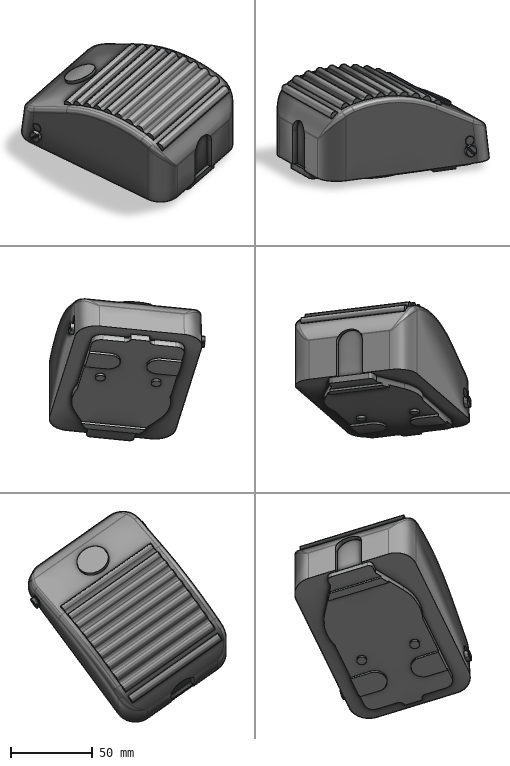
import cadquery as cq
import math


def polar(centre, radius, angle):
    """Point on a circle in the XZ section; the angle is measured from +Z toward +X, in degrees."""
    turn = math.radians(angle)
    return (centre[0] + radius * math.sin(turn), centre[1] + radius * math.cos(turn))


length = 116.5
width = 79.0
half_width = width / 2
wall_tilt = 6.9
slope = 26.1
crown_x = 76.9
crown_z = 49.1
crown_radius = 83.4
back_radius = 24.5
nose_radius = 13.3
corner_radius = 13.0
edge_radius = 2.9
nose_overshoot = 0.1
back_overshoot = 0.17

crown_centre = (crown_x, crown_z - crown_radius)
back_x = length + back_overshoot
back_turn = math.degrees(math.asin((back_x - back_radius - crown_x) / (crown_radius - back_radius)))
slope_end = polar(crown_centre, crown_radius, -slope)
climb = math.tan(math.radians(slope))
lean = math.tan(math.radians(wall_tilt))
back_centre = polar(crown_centre, crown_radius - back_radius, back_turn)

notch_diameter = 17.2
notch_top = 29.7
notch_depth = 3.5

overlap = 1.2

ridge_radius = 2.7
ridge_pitch = 5.57
ridges_before_crown = 5
ridges_after_crown = 2
rear_ridge_turns = (21.1, 41.5)
valley_radius = 2.0
tread_width = 68.0

badge_diameter = 20.0
badge_thickness = 2.1
badge_x = 22.7

screw_x = 18.4
screw_z = 8.6
screw_diameter = 6.9
screw_reach = 84.3 / 2
slot_width = 1.0
slot_depth = 1.2
slot_angle = 45
button_z = 14.8
button_diameter = 6.1
button_height = 0.1
button_taper = 65

plate_thickness = 3.8
plate_front = 8.9
plate_back = 115.4
plate_half_width = 29.0
plate_corner_radius = 6.2
bulge_radius = 61.0 / 2
bulge_x = 73.9
bulge_end_angle = 31.0
taper_end_x = 108.4
tail_corner_radius = 2.8
tab_front = 5.4
tab_half_width = 5.8
tab_fillet = plate_front - tab_front
tab_fillet_gap = 0.7

foot_height = 1.5
front_foot_x = (22.6, 37.8)
front_foot_outer_y = 29.0
front_foot_inner_y = 8.4
rear_foot_x = (99.5, 104.6)
stud_x = 48.5
stud_y = 17.5
stud_diameter = 6.1


def make_housing():
    """Arched body whose sides are rounded along the whole upper outline."""
    nose_z = (slope_end[1] - climb * (slope_end[0] + nose_overshoot)) / (1 - lean * climb)
    nose = (nose_z * lean - nose_overshoot, nose_z)
    arch = (
        cq.Workplane("XZ")
        .moveTo(-nose_overshoot, 0)
        .lineTo(*nose)
        .lineTo(*slope_end)
        .threePointArc((crown_x, crown_z), polar(crown_centre, crown_radius, back_turn))
        .threePointArc(polar(back_centre, back_radius, (back_turn + 90) / 2), (back_x, back_centre[1]))
        .lineTo(back_x, 0)
        .close()
        .extrude(half_width, both=True)
        .edges(cq.selectors.NearestToPointSelector((nose[0], 0, nose[1])))
        .fillet(nose_radius)
    )

    block_height = crown_z + edge_radius
    walls = (
        cq.Workplane("XZ")
        .polyline([(0, 0), (lean * block_height, block_height), (length, block_height), (length, 0)])
        .close()
        .extrude(half_width, both=True)
        .edges("not(#Z or |Y or |X)")
        .fillet(corner_radius)
    )

    body = arch.intersect(walls)
    outline = body.faces("<Y or >Y").edges("not(<Z or |Z)")
    outline = outline.filter(lambda edge: edge.Center().z > nose_z)
    return outline.fillet(edge_radius)


def make_notch():
    """Arched cable notch, open at the rim of the back wall."""
    radius = notch_diameter / 2
    return (
        cq.Workplane("YZ", origin=(length - notch_depth, 0, 0))
        .moveTo(-radius, 0)
        .lineTo(-radius, notch_top - radius)
        .threePointArc((0, notch_top), (radius, notch_top - radius))
        .lineTo(radius, 0)
        .close()
        .extrude(notch_depth + overlap)
    )


def ridge_places():
    """Centre and outward angle of every ridge, front to back."""
    places = []
    for step in range(-ridges_before_crown, ridges_after_crown + 1):
        angle = step * ridge_pitch
        places.append((polar(crown_centre, crown_radius, angle), angle))
    for angle in rear_ridge_turns:
        places.append((polar(back_centre, back_radius, angle), angle))
    return places


def valley(ridge, next_ridge):
    """Start, bottom and end of the hollow arc that is tangent to two neighbouring ridges."""
    run = next_ridge[0] - ridge[0]
    rise = next_ridge[1] - ridge[1]
    gap = math.hypot(run, rise)
    heading = math.degrees(math.atan2(-rise, run))
    reach = ridge_radius + valley_radius
    spread = math.degrees(math.asin(gap / 2 / reach))
    centre = polar(ridge, reach, heading + spread)
    start = polar(ridge, ridge_radius, heading + spread)
    bottom = polar(centre, -valley_radius, heading)
    end = polar(next_ridge, ridge_radius, heading - spread)
    return start, bottom, end


def make_tread():
    """Row of round ridges with hollow valleys between them, following the crown."""
    places = ridge_places()
    first, first_angle = places[0]
    last, last_angle = places[-1]
    outline = cq.Workplane("XZ").moveTo(*polar(first, ridge_radius, first_angle - 90))
    for (ridge, angle), (next_ridge, _) in zip(places, places[1:]):
        start, bottom, end = valley(ridge, next_ridge)
        outline = outline.threePointArc(polar(ridge, ridge_radius, angle), start)
        outline = outline.threePointArc(bottom, end)
    last_top = polar(last, ridge_radius, last_angle)
    outline = outline.threePointArc(last_top, polar(last, ridge_radius, last_angle + 90))
    return outline.close().extrude(tread_width / 2, both=True)


def make_badge():
    """Round badge standing square on the front slope."""
    badge_z = slope_end[1] - climb * (slope_end[0] - badge_x)
    outward = polar((0, 0), 1, -slope)
    plane = cq.Plane((badge_x, 0, badge_z), xDir=(0, 1, 0), normal=(outward[0], 0, outward[1]))
    return (
        cq.Workplane(plane)
        .workplane(offset=-overlap)
        .circle(badge_diameter / 2)
        .extrude(badge_thickness + overlap)
    )


def make_side_fittings():
    """Slotted screw and low round button above it, on the -Y side."""
    screw = (
        cq.Workplane("XZ", origin=(screw_x, -half_width + overlap, screw_z))
        .circle(screw_diameter / 2)
        .extrude(screw_reach - half_width + overlap)
    )
    slot = (
        cq.Workplane("XZ", origin=(screw_x, -screw_reach + slot_depth, screw_z))
        .transformed(rotate=(0, 0, slot_angle))
        .rect(2 * screw_diameter, slot_width)
        .extrude(slot_depth)
    )
    button = (
        cq.Workplane("XZ", origin=(screw_x, -half_width, button_z))
        .circle(button_diameter / 2)
        .extrude(button_height, taper=button_taper)
    )
    return screw.cut(slot).union(button)


def plate_blank(bottom, thickness):
    """Plate outline with rounded front, bulged sides and a narrower tail, extruded up from bottom."""
    bulge_centre = (bulge_x, 0)
    bulge_start_x = bulge_x - math.sqrt(bulge_radius**2 - plate_half_width**2)
    bulge_end = polar(bulge_centre, bulge_radius, bulge_end_angle)
    taper_drop = (taper_end_x - bulge_end[0]) * math.tan(math.radians(bulge_end_angle))
    tail_y = bulge_end[1] - taper_drop
    half = (
        cq.Workplane("XY", origin=(0, 0, bottom))
        .moveTo(plate_front, 0)
        .lineTo(plate_front, plate_half_width - plate_corner_radius)
        .radiusArc((plate_front + plate_corner_radius, plate_half_width), plate_corner_radius)
        .lineTo(bulge_start_x, plate_half_width)
        .threePointArc((bulge_x, bulge_radius), bulge_end)
        .lineTo(taper_end_x, tail_y)
        .lineTo(plate_back - tail_corner_radius, tail_y)
        .radiusArc((plate_back, tail_y - tail_corner_radius), tail_corner_radius)
        .lineTo(plate_back, 0)
        .close()
        .extrude(thickness)
    )
    return half.union(half.mirror("XZ"))


def make_plate():
    """Base plate with a flared tab in front."""
    tab = cq.Workplane("XY", origin=(tab_front, 0, -plate_thickness)).box(
        plate_front - tab_front + overlap, 2 * tab_half_width, plate_thickness, centered=(False, True, False)
    )
    flare = (
        cq.Workplane("XY", origin=(0, 0, -plate_thickness))
        .moveTo(tab_front, tab_half_width)
        .radiusArc((plate_front, tab_half_width + tab_fillet), -tab_fillet)
        .lineTo(plate_front, tab_half_width)
        .close()
        .extrude(plate_thickness - tab_fillet_gap)
    )
    return plate_blank(-plate_thickness, plate_thickness).union(tab).union(flare).union(flare.mirror("XZ"))


def make_feet():
    """Two round-ended front pads, two studs and one rear bar flush with the plate sides."""
    bottom = -plate_thickness - foot_height
    under = cq.Workplane("XY", origin=(0, 0, bottom))
    front, back = front_foot_x
    end_radius = (back - front) / 2
    end_y = front_foot_inner_y + end_radius
    pad = (
        under.moveTo(front, front_foot_outer_y)
        .lineTo(front, end_y)
        .threePointArc((front + end_radius, front_foot_inner_y), (back, end_y))
        .lineTo(back, front_foot_outer_y)
        .close()
        .extrude(foot_height)
    )
    stud = under.center(stud_x, stud_y).circle(stud_diameter / 2).extrude(foot_height)
    side_feet = pad.union(stud)
    bar_front, bar_back = rear_foot_x
    strip = under.center((bar_front + bar_back) / 2, 0).rect(bar_back - bar_front, width).extrude(foot_height)
    bar = plate_blank(bottom, foot_height).intersect(strip)
    return side_feet.union(side_feet.mirror("XZ")).union(bar)


fittings = make_side_fittings()
result = (
    make_housing()
    .cut(make_notch())
    .union(make_tread())
    .union(make_badge())
    .union(fittings)
    .union(fittings.mirror("XZ"))
    .union(make_plate())
    .union(make_feet())
)